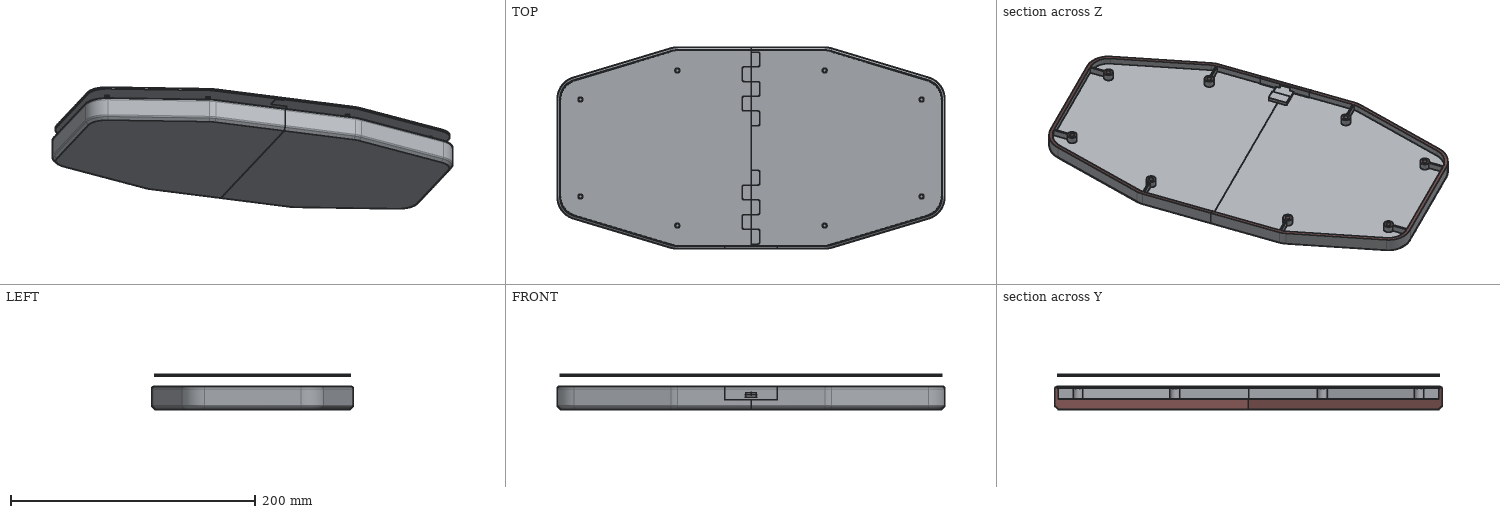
import cadquery as cq
import math

LENGTH = 317.5
WIDTH = 165.0
HEIGHT = 29.0
CORNER_RADIUS = 19.0
SCREW_END_X = LENGTH / 2 - CORNER_RADIUS
SCREW_END_Y = 39.7
SCREW_SIDE_X = 60.3
SCREW_SIDE_Y = WIDTH / 2 - CORNER_RADIUS

HOUSING_HEIGHT = 19.0
RIM_WIDTH = 2.2
WALL = 3.2
FLOOR = 9.0
BOTTOM_CHAMFER = 3.0
BOTTOM_BLEND = 2.0
RIM_FILLET = 2.0
BOSS_DIAMETER = 8.0
BOSS_HOLE_DIAMETER = 3.2
RIB_THICKNESS = 1.5
ROOT_Z = FLOOR / 2

PLATE_INSET = 2.5
PLATE_THICKNESS = 1.5
PLATE_HOLE_DIAMETER = 3.8
SEAT_Z = HOUSING_HEIGHT - PLATE_THICKNESS
PLATE_Z = HEIGHT - PLATE_THICKNESS

TONGUE_SKIN = 0.5
TONGUE_HEIGHT = PLATE_THICKNESS - TONGUE_SKIN
TONGUE_REACH = 7.15
TONGUE_PITCH = 12.0
TONGUE_START = 18.25
TONGUES_PER_SIDE = 5
TONGUE_RADIUS = 1.5

BLOCK_WIDTH = 43.2
BLOCK_Z = 8.3
PORT_WIDTH = 9.0
PORT_Z = 10.2
PORT_HEIGHT = 3.8
SHELF_WIDTH = 16.0
SHELF_TOP_Z = 12.0
SHELF_FRONT_Y = -71.5
SHELF_BACK_Y = -63.5

FRONT_Y = -WIDTH / 2
INNER_FRONT_Y = FRONT_Y + WALL
SCREW_POINTS = [
    (sx * x, sy * y)
    for x, y in ((SCREW_END_X, SCREW_END_Y), (SCREW_SIDE_X, SCREW_SIDE_Y))
    for sx in (-1, 1)
    for sy in (-1, 1)
]


def outline_prism(inset, z, height):
    """Prism over the ring of screw centres, grown by the corner radius less an inset."""
    ring = [
        (-SCREW_END_X, -SCREW_END_Y),
        (-SCREW_SIDE_X, -SCREW_SIDE_Y),
        (SCREW_SIDE_X, -SCREW_SIDE_Y),
        (SCREW_END_X, -SCREW_END_Y),
        (SCREW_END_X, SCREW_END_Y),
        (SCREW_SIDE_X, SCREW_SIDE_Y),
        (-SCREW_SIDE_X, SCREW_SIDE_Y),
        (-SCREW_END_X, SCREW_END_Y),
    ]
    sketch = cq.Workplane("XY", origin=(0, 0, z)).polyline(ring).close()
    return sketch.offset2D(CORNER_RADIUS - inset, "arc").extrude(height)


def box_between(x0, x1, y0, y1, z0, z1):
    """Box given by its limits along each axis."""
    return cq.Workplane("XY").box(x1 - x0, y1 - y0, z1 - z0, centered=False).translate((x0, y0, z0))


def half_space(side):
    """Large box covering everything on one side (-1 or +1) of the seam plane x = 0."""
    return cq.Workplane("XY").box(LENGTH, 2 * WIDTH, 4 * HEIGHT).translate((side * LENGTH / 2, 0, 0))


def cylinders(points, diameter, z0, z1):
    """Upright cylinders of one diameter between two heights."""
    return cq.Workplane("XY", origin=(0, 0, z0)).pushPoints(points).circle(diameter / 2).extrude(z1 - z0)


def screw_ribs():
    """Ribs from the bosses to the walls: along X at the ends, along Y at the long sides."""
    ribs = cq.Workplane("XY")
    reach = CORNER_RADIUS - RIM_WIDTH
    half = RIB_THICKNESS / 2
    for x, y in SCREW_POINTS:
        if abs(x) == SCREW_END_X:
            tip = x + math.copysign(reach, x)
            rib = box_between(min(x, tip), max(x, tip), y - half, y + half, ROOT_Z, SEAT_Z)
        else:
            tip = y + math.copysign(reach, y)
            rib = box_between(x - half, x + half, min(y, tip), max(y, tip), ROOT_Z, SEAT_Z)
        ribs = ribs.add(rib)
    return ribs.combine()


def block_envelope():
    """Space in the front wall taken by the port block."""
    half = BLOCK_WIDTH / 2
    return box_between(-half, half, FRONT_Y, INNER_FRONT_Y, BLOCK_Z, HOUSING_HEIGHT)


def full_tray():
    """Both housing halves in one piece, before the seam and the port block are cut."""
    tray = outline_prism(0, 0, HOUSING_HEIGHT)
    tray = tray.faces("<Z").chamfer(BOTTOM_CHAMFER)
    lower_rim = cq.selectors.BoxSelector(
        (-LENGTH, -WIDTH, BOTTOM_CHAMFER / 2), (LENGTH, WIDTH, HOUSING_HEIGHT / 2)
    )
    tray = tray.edges(lower_rim).edges("#Z").fillet(BOTTOM_BLEND)
    tray = tray.faces(">Z").edges().fillet(RIM_FILLET)
    tray = tray.cut(outline_prism(RIM_WIDTH, SEAT_Z, HOUSING_HEIGHT))
    return tray.cut(outline_prism(WALL, FLOOR, HOUSING_HEIGHT))


def screw_bosses(tray):
    """Adds ribbed bosses with blind screw holes to the tray."""
    tray = tray.union(cylinders(SCREW_POINTS, BOSS_DIAMETER, ROOT_Z, SEAT_Z))
    tray = tray.union(screw_ribs())
    return tray.cut(cylinders(SCREW_POINTS, BOSS_HOLE_DIAMETER, FLOOR, SEAT_Z))


def housing_half(tray, side):
    """One half of the tray, open where the port block sits."""
    return tray.intersect(half_space(side)).cut(block_envelope())


def port_block(tray):
    """Wall insert with the port opening and an inner shelf behind it."""
    half_shelf = SHELF_WIDTH / 2
    half_port = PORT_WIDTH / 2
    block = tray.intersect(block_envelope())
    block = block.union(box_between(-half_shelf, half_shelf, INNER_FRONT_Y, SHELF_BACK_Y, FLOOR, PORT_Z))
    block = block.union(box_between(-half_shelf, half_shelf, SHELF_FRONT_Y, SHELF_BACK_Y, FLOOR, SHELF_TOP_Z))
    port = box_between(-half_port, half_port, FRONT_Y, INNER_FRONT_Y, PORT_Z, PORT_Z + PORT_HEIGHT)
    return block.cut(port)


def tongues(side):
    """Tongues of one cover plate reaching across the seam, at mirrored places along it."""
    solids = cq.Workplane("XY")
    first = 0 if side < 0 else 1
    for index in range(first, TONGUES_PER_SIDE, 2):
        y = TONGUE_START + (index + 0.5) * TONGUE_PITCH
        for end in (-1, 1):
            tongue = cq.Workplane("XY").box(2 * TONGUE_REACH, TONGUE_PITCH, TONGUE_HEIGHT)
            tongue = tongue.edges("|Z").fillet(TONGUE_RADIUS).intersect(half_space(-side))
            solids = solids.add(tongue.translate((0, end * y, PLATE_Z + TONGUE_HEIGHT / 2)))
    return solids.combine()


def cover_plate(side):
    """One cover plate with its screw holes, its tongues and pockets for the other's tongues."""
    plate = outline_prism(PLATE_INSET, PLATE_Z, PLATE_THICKNESS).intersect(half_space(side))
    plate = plate.cut(cylinders(SCREW_POINTS, PLATE_HOLE_DIAMETER, PLATE_Z, HEIGHT))
    return plate.cut(tongues(-side)).union(tongues(side))


tray = full_tray()
bossed_tray = screw_bosses(tray)
housings = [housing_half(bossed_tray, side) for side in (-1, 1)]
block = port_block(tray)
plates = [cover_plate(side) for side in (-1, 1)]

result = cq.Compound.makeCompound([body.solids().val() for body in (*housings, block, *plates)])